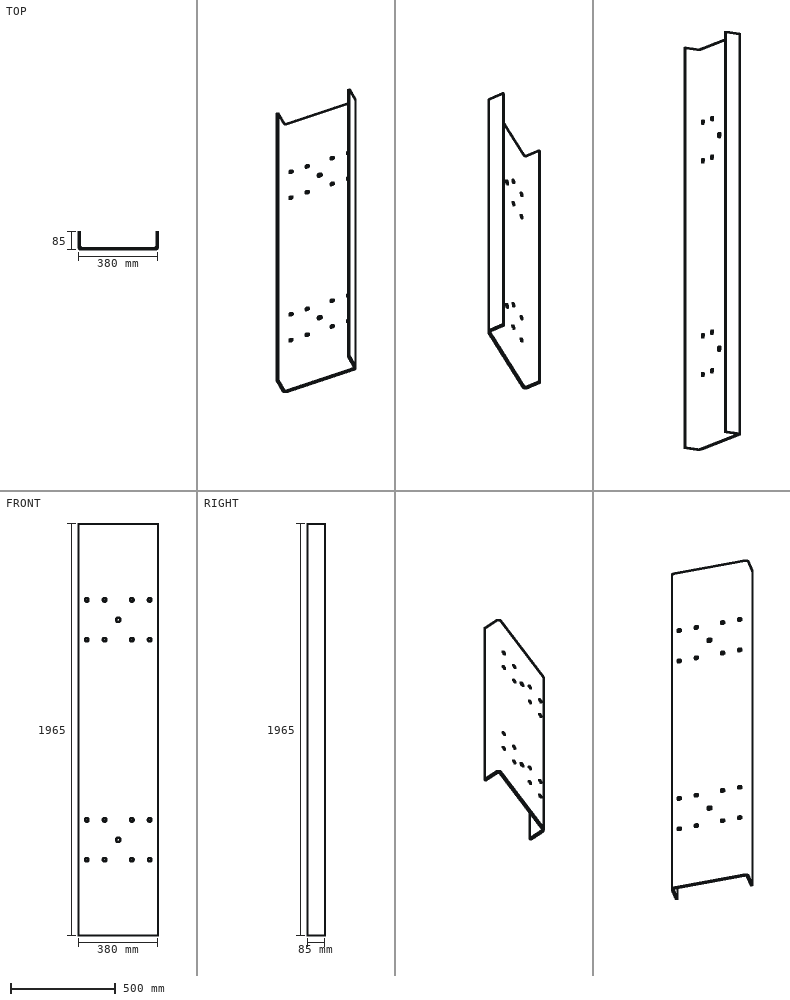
import cadquery as cq

width = 380.0
depth = 85.0
length = 1965.0
thickness = 8.0
inner_radius = 8.0
outer_radius = inner_radius + thickness

group_spacing = 1050.0
row_spacing = 190.0
inner_column_spacing = 130.0
outer_column_spacing = 300.0
bolt_hole_diameter = 16.0
center_hole_diameter = 20.0


def make_channel():
    """Extrude the U-shaped section with rounded bends, centered on Z."""
    outer = cq.Workplane("XY").box(width, depth, length, centered=(True, False, True))
    outer = outer.edges("|Z and <Y").fillet(outer_radius)
    inner = (
        cq.Workplane("XY")
        .box(width - 2 * thickness, depth - thickness, length, centered=(True, False, True))
        .edges("|Z and <Y")
        .fillet(inner_radius)
        .translate((0, thickness, 0))
    )
    return outer.cut(inner)


def web_holes(points, diameter):
    """Cylinders along Y through the web at the given (x, z) points."""
    return (
        cq.Workplane("XZ")
        .pushPoints(points)
        .circle(diameter / 2)
        .extrude(-thickness)
    )


def make_hole_group(center_z):
    """Two rows of four bolt holes around one central hole."""
    half_columns = (inner_column_spacing / 2, outer_column_spacing / 2)
    bolt_points = [
        (side * half_column, center_z + row_side * row_spacing / 2)
        for half_column in half_columns
        for side in (-1, 1)
        for row_side in (-1, 1)
    ]
    bolt_holes = web_holes(bolt_points, bolt_hole_diameter)
    return bolt_holes.union(web_holes([(0, center_z)], center_hole_diameter))


result = make_channel()
for side in (-1, 1):
    result = result.cut(make_hole_group(side * group_spacing / 2))